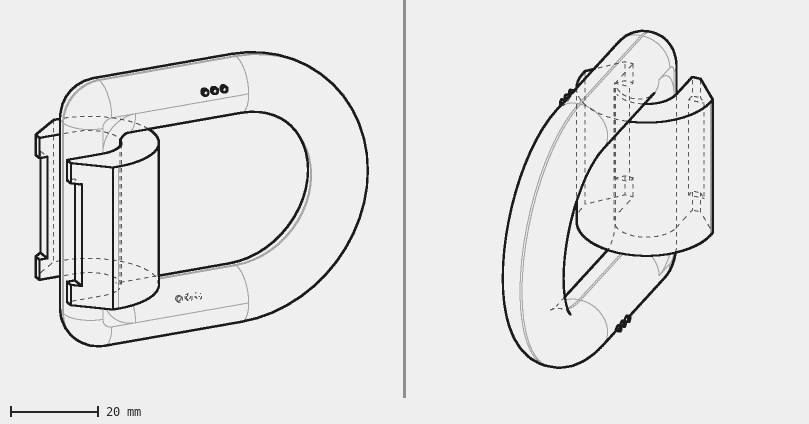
import cadquery as cq
import math

cos_45 = math.sqrt(0.5)

ring_height = 65.0
section_radius = 6.75
flat_half_width = 0.25
bar_outer_y = -6.5
bow_center_y = 37.0
corner_outer_radius = 9.0
corner_inner_radius = 1.5

section_half_x = section_radius + flat_half_width
bow_radius = ring_height / 2 - section_radius
bar_center_y = bar_outer_y + section_radius
outer_seam_radius = corner_outer_radius - section_radius
inner_seam_radius = corner_inner_radius + section_radius

dot_diameter = 1.4
dot_pitch = 2.4
dot_count = 3
dot_center_y = 28.4
dot_center_z = 28.0
dot_face_x = 7.4

housing_radius = 16.0
housing_height = 35.0
housing_base_y = -9.0
bevel_start_y = -1.4
foot_half_width = 9.5
slot_half_width = 7.4
foot_height = 5.0
foot_depth = 2.0


def seam_loop(corner_radius):
    """Closed D along the middle of the bar, starting where the upper leg meets the round end."""
    corner_y = bar_center_y + corner_radius
    corner_z = bow_radius - corner_radius
    arc_mid = corner_radius * cos_45
    return (
        cq.Workplane("YZ")
        .moveTo(bow_center_y, bow_radius)
        .lineTo(corner_y, bow_radius)
        .threePointArc((corner_y - arc_mid, corner_z + arc_mid), (bar_center_y, corner_z))
        .lineTo(bar_center_y, -corner_z)
        .threePointArc((corner_y - arc_mid, -corner_z - arc_mid), (corner_y, -bow_radius))
        .lineTo(bow_center_y, -bow_radius)
        .threePointArc((bow_center_y + bow_radius, 0), (bow_center_y, bow_radius))
        .close()
    )


def swept_half(loop, direction):
    """Half of the bar section swept round the loop: direction +1 is the outside of the D, -1 the inside."""
    depth = direction * section_radius
    arc_mid_x = flat_half_width + section_radius * cos_45
    arc_mid_depth = depth * cos_45
    half_section = (
        cq.Workplane("XZ", origin=(0, bow_center_y, bow_radius))
        .moveTo(-section_half_x, 0)
        .threePointArc((-arc_mid_x, arc_mid_depth), (-flat_half_width, depth))
        .lineTo(flat_half_width, depth)
        .threePointArc((arc_mid_x, arc_mid_depth), (section_half_x, 0))
        .close()
    )
    return half_section.sweep(loop, transition="right")


def make_ring():
    outer_loop = seam_loop(outer_seam_radius)
    inner_loop = seam_loop(inner_seam_radius)
    webs = outer_loop.extrude(section_half_x, both=True).cut(inner_loop.extrude(section_half_x, both=True))
    outer_half = swept_half(outer_loop, direction=1)
    inner_half = swept_half(inner_loop, direction=-1)
    return add_dots(outer_half.union(inner_half).union(webs))


def add_dots(ring):
    """A row of dots on the lower leg at -X and, turned half round the Y axis, on the upper leg at +X."""
    for side in (-1, 1):
        dots = (
            cq.Workplane("YZ", origin=(0, dot_center_y, side * dot_center_z))
            .rarray(dot_pitch, 1, dot_count, 1)
            .circle(dot_diameter / 2)
            .extrude(side * dot_face_x)
        )
        ring = ring.union(dots)
    return ring


def make_housing():
    outline = (
        cq.Workplane("XY", origin=(0, 0, -housing_height / 2))
        .moveTo(slot_half_width, housing_base_y)
        .lineTo(foot_half_width, housing_base_y)
        .lineTo(housing_radius, bevel_start_y)
        .lineTo(housing_radius, 0)
        .threePointArc((0, housing_radius), (-housing_radius, 0))
        .lineTo(-housing_radius, bevel_start_y)
        .lineTo(-foot_half_width, housing_base_y)
        .lineTo(-slot_half_width, housing_base_y)
        .lineTo(-slot_half_width, 0)
        .threePointArc((0, slot_half_width), (slot_half_width, 0))
        .close()
    )
    base_recess = cq.Workplane("XY", origin=(0, housing_base_y, 0)).box(
        2 * housing_radius, 2 * foot_depth, housing_height - 2 * foot_height
    )
    return outline.extrude(housing_height).cut(base_recess)


ring = make_ring()
housing = make_housing()
result = cq.Compound.makeCompound([ring.solids().val(), housing.solids().val()])